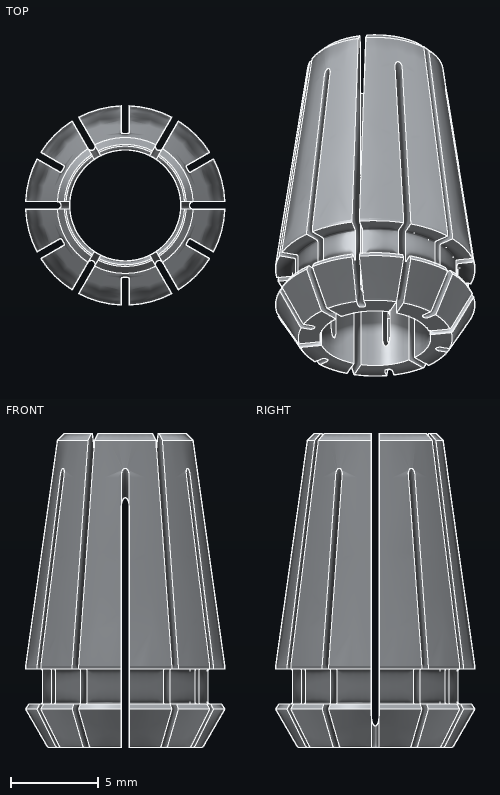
import cadquery as cq
import math

TOTAL_HEIGHT = 18.0
MAX_RADIUS = 11.43 / 2
BORE_RADIUS = 6.35 / 2

TAPER_ANGLE = 8.0
TAPER_BASE_Z = 4.65
TOP_CHAMFER = 0.4

GROOVE_RADIUS = 4.75
GROOVE_BOTTOM_Z = 2.5
GROOVE_TOP_Z = 4.5
GROOVE_FILLET = 0.1

NOSE_ANGLE = 30.0
FLANGE_RIM_Z = 2.2
FLANGE_TOP_RADIUS = 5.53
NOSE_EDGE_CHAMFER = 0.08

FLARE_RADIUS = 3.4
FLARE_DEPTH = 1.4

SLOT_WIDTH = 0.43
SLOT_END_RADIUS = SLOT_WIDTH / 2
SLOTS_PER_SET = 6
SLOT_PITCH = 360.0 / SLOTS_PER_SET
UPPER_SLOT_START_ANGLE = 0.0
LOWER_SLOT_START_ANGLE = SLOT_PITCH / 2
UPPER_SLOT_END_Z = 1.24
UPPER_SLOT_EXIT_RADIUS = 3.68
LOWER_SLOT_END_Z = 14.3
LOWER_SLOT_RISE = 1.79
SLOT_INNER_RADIUS = 2.0
SLOT_OUTER_RADIUS = 7.0
SLOT_OVERRUN = 20.0


def taper_radius(z):
    """Outer radius of the clamping taper at height z."""
    return MAX_RADIUS - (z - TAPER_BASE_Z) * math.tan(math.radians(TAPER_ANGLE))


def make_blank():
    """Solid of revolution of the outside, without bore or slots."""
    taper_top_z = TOTAL_HEIGHT - TOP_CHAMFER
    taper_top_radius = taper_radius(taper_top_z)
    nose_slope = math.tan(math.radians(NOSE_ANGLE))
    nose_radius = MAX_RADIUS - FLANGE_RIM_Z * nose_slope
    edge_radius = nose_radius + NOSE_EDGE_CHAMFER * nose_slope
    profile = (
        cq.Workplane("XZ")
        .lineTo(edge_radius - NOSE_EDGE_CHAMFER, 0)
        .lineTo(edge_radius, NOSE_EDGE_CHAMFER)
        .lineTo(MAX_RADIUS, FLANGE_RIM_Z)
        .lineTo(FLANGE_TOP_RADIUS, GROOVE_BOTTOM_Z)
        .lineTo(GROOVE_RADIUS + GROOVE_FILLET, GROOVE_BOTTOM_Z)
        .radiusArc((GROOVE_RADIUS, GROOVE_BOTTOM_Z + GROOVE_FILLET), GROOVE_FILLET)
        .lineTo(GROOVE_RADIUS, GROOVE_TOP_Z - GROOVE_FILLET)
        .radiusArc((GROOVE_RADIUS + GROOVE_FILLET, GROOVE_TOP_Z), GROOVE_FILLET)
        .lineTo(MAX_RADIUS, GROOVE_TOP_Z)
        .lineTo(MAX_RADIUS, TAPER_BASE_Z)
        .lineTo(taper_top_radius, taper_top_z)
        .lineTo(taper_top_radius - TOP_CHAMFER, TOTAL_HEIGHT)
        .lineTo(0, TOTAL_HEIGHT)
        .close()
    )
    return profile.revolve(360, (0, 0, 0), (0, 1, 0))


def make_bore():
    """Through bore with the flared mouth at its upper end."""
    flare_width = FLARE_RADIUS - BORE_RADIUS
    arc_radius = (FLARE_DEPTH**2 + flare_width**2) / (2 * flare_width)
    profile = (
        cq.Workplane("XZ")
        .lineTo(BORE_RADIUS, 0)
        .lineTo(BORE_RADIUS, TOTAL_HEIGHT - FLARE_DEPTH)
        .radiusArc((FLARE_RADIUS, TOTAL_HEIGHT), arc_radius)
        .lineTo(0, TOTAL_HEIGHT)
        .close()
    )
    return profile.revolve(360, (0, 0, 0), (0, 1, 0))


def make_slot(end_z, rise, direction):
    """Radial slot along +X that ends in a slanted drilled groove.

    The groove floor meets the bore wall at end_z and climbs by rise per unit of radius;
    direction is +1 for a slot open at the top and -1 for one open at the bottom.
    """
    axis_shift = direction * SLOT_END_RADIUS * math.hypot(1, rise)
    inner_z = end_z + axis_shift + rise * (SLOT_INNER_RADIUS - BORE_RADIUS)
    length = SLOT_OUTER_RADIUS - SLOT_INNER_RADIUS
    outer_z = inner_z + rise * length
    side = (
        cq.Workplane("XZ")
        .moveTo(SLOT_INNER_RADIUS, inner_z)
        .lineTo(SLOT_OUTER_RADIUS, outer_z)
        .lineTo(SLOT_OUTER_RADIUS, outer_z + direction * SLOT_OVERRUN)
        .lineTo(SLOT_INNER_RADIUS, inner_z + direction * SLOT_OVERRUN)
        .close()
        .extrude(SLOT_WIDTH / 2, both=True)
    )
    end_hole = cq.Solid.makeCylinder(
        SLOT_END_RADIUS,
        length * math.hypot(1, rise),
        cq.Vector(SLOT_INNER_RADIUS, 0, inner_z),
        cq.Vector(1, 0, rise),
    )
    return side.union(cq.Workplane(end_hole))


def cut_slot_set(body, slot, start_angle):
    """Cut one set of equally spaced slots."""
    for index in range(SLOTS_PER_SET):
        angle = start_angle + index * SLOT_PITCH
        body = body.cut(slot.rotate((0, 0, 0), (0, 0, 1), angle))
    return body


upper_slot_rise = -UPPER_SLOT_END_Z / (UPPER_SLOT_EXIT_RADIUS - BORE_RADIUS)
upper_slot = make_slot(UPPER_SLOT_END_Z, upper_slot_rise, 1)
lower_slot = make_slot(LOWER_SLOT_END_Z, LOWER_SLOT_RISE, -1)

collet = make_blank().cut(make_bore())
collet = cut_slot_set(collet, upper_slot, UPPER_SLOT_START_ANGLE)
result = cut_slot_set(collet, lower_slot, LOWER_SLOT_START_ANGLE)